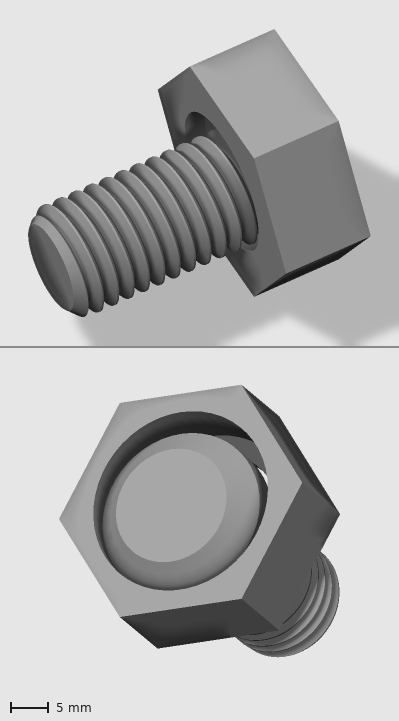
import cadquery as cq
import math

nut_corners = 34.8
nut_depth = 12.77
mouth_radius = 10.0
mouth_depth = 3.0
cavity_radius = 12.5

axis_x = 0.85
axis_z = -0.92
head_overhang = 1.15
head_gap = 3.37
head_back_radius = 7.9
shank_end = -26.22
major_radius = 7.95
core_radius = 6.4
tip_chamfer = 1.75

ten_turns = 23.15
pitch = ten_turns / 10
crest_width = 0.3
root_width = 0.3
thread_phase = -45.0
cutter_overrun = 0.15

head_front = mouth_depth + head_gap
shank_length = head_front - shank_end
head_back = nut_depth + head_overhang
head_radius = cavity_radius - math.hypot(axis_x, axis_z)
head_chamfer = head_radius - head_back_radius


def along_y(radius, start, end, x=0.0, z=0.0):
    """Cylinder parallel to Y from start to end."""
    base = cq.Vector(x, start, z)
    return cq.Workplane(cq.Solid.makeCylinder(radius, end - start, base, cq.Vector(0, 1, 0)))


def make_nut():
    """Hexagon with a narrow mouth in front of the wider cavity that holds the bolt head."""
    nut = cq.Workplane("XZ").polygon(6, nut_corners).extrude(-nut_depth)
    nut = nut.cut(along_y(mouth_radius, 0, mouth_depth))
    return nut.cut(along_y(cavity_radius, mouth_depth, nut_depth))


def make_groove():
    """Helical thread groove, built along Z from the head end past the tip."""
    height = shank_length + 2 * pitch
    half_root = root_width / 2
    half_top = (pitch - crest_width) / 2
    flank_slope = (half_top - half_root) / (major_radius - core_radius)
    half_mouth = half_top + cutter_overrun * flank_slope
    outside = major_radius + cutter_overrun
    start = cq.Vector(0, 0, -pitch)
    corners = [
        (core_radius, -half_root),
        (outside, -half_mouth),
        (outside, half_mouth),
        (core_radius, half_root),
    ]
    helices = [cq.Wire.makeHelix(pitch, height, radius, start + cq.Vector(0, 0, z)) for radius, z in corners]
    faces = []
    for helix, next_helix in zip(helices, helices[1:] + helices[:1]):
        faces.extend(cq.Face.makeRuledSurface(helix, next_helix).Faces())
    for ends in ([h.startPoint() for h in helices], [h.endPoint() for h in helices]):
        faces.append(cq.Face.makeFromWires(cq.Wire.makePolygon(ends, close=True)))
    groove = cq.Solid.makeSolid(cq.Shell.makeShell(faces))
    return cq.Workplane(groove).rotate((0, 0, 0), (0, 0, 1), thread_phase)


def make_bolt():
    """Threaded shank joined to a round head with a chamfered back."""
    blank = cq.Workplane("XY").circle(major_radius).extrude(shank_length).faces(">Z").chamfer(tip_chamfer)
    shank = blank.cut(make_groove())
    shank = shank.rotate((0, 0, 0), (1, 0, 0), 90).translate((axis_x, head_front, axis_z))
    head = along_y(head_radius, head_front, head_back, axis_x, axis_z).faces(">Y").chamfer(head_chamfer)
    return head.union(shank)


nut = make_nut()
bolt = make_bolt()
result = cq.Compound.makeCompound([nut.solids().val(), bolt.solids().val()])